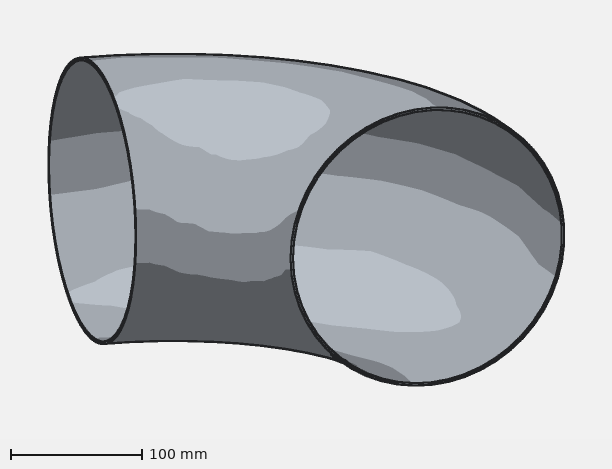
import cadquery as cq

overall_reach = 312.5
outer_diameter = 219.0
wall_thickness = 2.0
bend_angle = 90.0

outer_radius = outer_diameter / 2
inner_radius = outer_radius - wall_thickness
bend_radius = overall_reach - outer_radius


def pipe_elbow():
    """Thin-walled pipe bent about the Z axis, open towards -Y and +X."""
    ring = (
        cq.Workplane("XZ")
        .center(-bend_radius, 0)
        .circle(outer_radius)
        .circle(inner_radius)
    )
    axis_start = (bend_radius, 0)
    axis_end = (bend_radius, -1)
    return ring.revolve(bend_angle, axis_start, axis_end)


result = pipe_elbow()